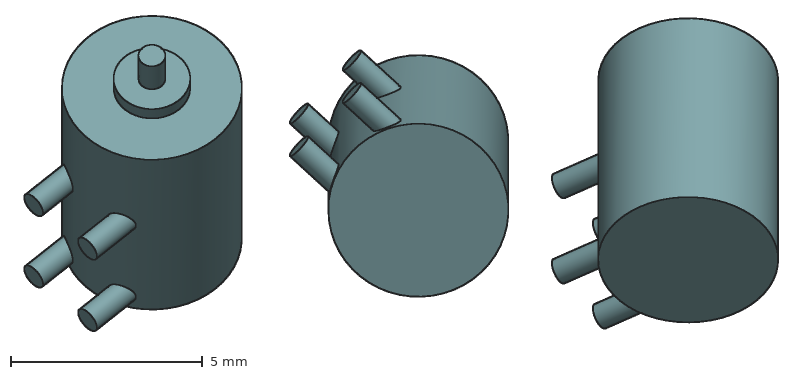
import cadquery as cq

total_height = 7.9
total_depth = 5.7

body_diameter = 4.7
body_height = 6.5
collar_diameter = 2.0
collar_height = 0.4
shaft_diameter = 0.7
shaft_length = total_height - body_height - collar_height

pin_diameter = 0.7
pin_spacing_x = 2.0
lower_pin_z = 0.505
pin_spacing_z = 3.1
pin_reach = total_depth - body_diameter / 2


def make_motor():
    """Stack the collar and shaft on the body, whose base lies at Z = 0."""
    body = cq.Workplane("XY").circle(body_diameter / 2).extrude(body_height)
    collar = body.faces(">Z").workplane().circle(collar_diameter / 2).extrude(collar_height)
    return collar.faces(">Z").workplane().circle(shaft_diameter / 2).extrude(shaft_length)


def make_pin(x, z):
    """Pin from the mid-plane of the body out through its -Y side."""
    return cq.Workplane("XZ").center(x, z).circle(pin_diameter / 2).extrude(pin_reach)


result = make_motor()
for pin_x in (-pin_spacing_x / 2, pin_spacing_x / 2):
    for pin_z in (lower_pin_z, lower_pin_z + pin_spacing_z):
        result = result.union(make_pin(pin_x, pin_z))